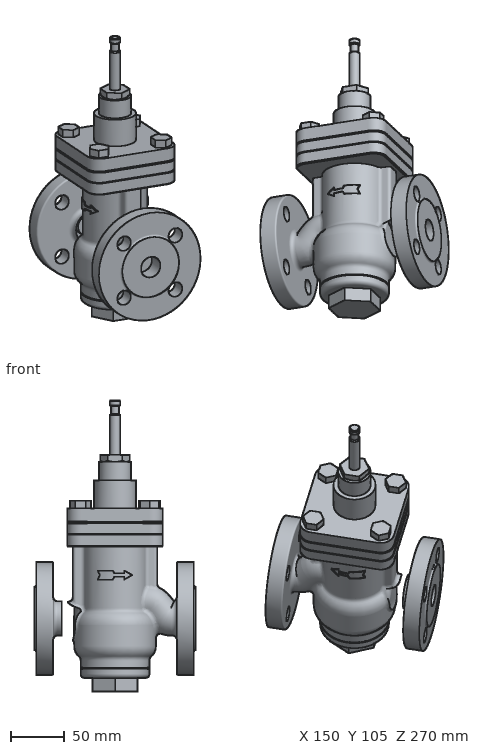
import cadquery as cq
import math


neck_radius = 60 / 2
belly_radius = 76 / 2
lower_neck_radius = 64 / 2
belly_top_z = -6.2
belly_bottom_z = -25.8
shoulder_radius = 14
shoulder_fillet = 5
underside_radius = 12
underside_fillet = 5

cap_radius = 64 / 2
cap_top_z = -46.6
cap_bottom_z = -55.2
cap_fillet = 3.8
cap_groove_width = 1.0
cap_groove_radius = 60 / 2
bottom_hex_flats = 42
bottom_z = -67.85

square_side = 88.6
square_corner = 12.3
square_bottom_z = 66.3
square_bottom_chamfer = 1.0
square_joint_z = 78.1
square_joint_gap = 0.8
square_joint_inset = 0.4
square_top_z = 88.1
gasket_radius = 52 / 2
cover_bottom_z = 89.6
cover_top_z = 101.9

bolt_offset = 32.0
bolt_head_flats = 17
bolt_head_height = 7.2

bonnet_radius = 39 / 2
bonnet_top_z = 127.9
gland_radius = 30 / 2
gland_top_z = 145.1
nut_flats = 24
nut_top_z = 151.6
nut_chamfer_slope = math.radians(30)
stem_radius = 9.95 / 2
stem_neck_radius = 7.5 / 2
stem_shoulder_z = 188.3
stem_head_bottom_z = 196.6
stem_chamfer = 1.2
stem_head_chamfer = 1.0
top_z = 202.15

rib_reach = 39.2
rib_width = 17
rib_fillet = 3

face_to_face = 150
raised_face_height = 2
raised_face_radius = 58.6 / 2
raised_face_fillet = 1.9
port_flange_radius = 105 / 2
port_flange_thickness = 15.8
port_flange_rounding = 1.6
port_bore_radius = 20 / 2
port_bolt_circle_radius = 75 / 2
port_bolt_hole_radius = 14 / 2
port_bolt_count = 4
port_bolt_start_angle = 45
pipe_radius = 32 / 2
pipe_fillet = 4

casting_fillet = 4
sharp_angle = 7

inlet_bend_start_x = -49.2
inlet_bend_radius = 30
inlet_bend_angle = 70
outlet_bend_start_x = 52.0
outlet_bend_radius = 10
outlet_entry_radius = 11
outlet_bend_angle = 50
outlet_straight = 10

arrow_height = 1.0
arrow_z = 40.2
arrow_tail_x = -16.0
arrow_notch_x = -14.0
arrow_shoulder_x = -2.1
arrow_shaft_x = -0.6
arrow_head_x = 8.5
arrow_tip_x = 16.0
arrow_half_width = 4.2
arrow_shaft_half_width = 1.6

port_face_x = face_to_face / 2
flange_outer_x = port_face_x - raised_face_height
flange_inner_x = flange_outer_x - port_flange_thickness

outlet_rise = (
    (outlet_bend_radius + outlet_entry_radius) * (1 - math.cos(math.radians(outlet_bend_angle)))
    + outlet_straight * math.sin(math.radians(outlet_bend_angle))
)

arc_sag = 1 - math.sqrt(0.5)


def disc(radius, z_from, z_to):
    """Round bar along Z."""
    return cq.Workplane("XY").workplane(offset=z_from).circle(radius).extrude(z_to - z_from)


def hexagon(flats, z_from, z_to, turn=0.0):
    """Hexagonal bar along Z; two corners lie on X, then it is turned about Z."""
    bar = cq.Workplane("XY").polygon(6, flats / math.cos(math.radians(30))).extrude(z_to - z_from)
    return bar.rotate((0, 0, 0), (0, 0, 1), turn).translate((0, 0, z_from))


def square_plate(side, z_from, z_to):
    corner = square_corner - (square_side - side) / 2
    plate = cq.Workplane("XY").workplane(offset=z_from).rect(side, side).extrude(z_to - z_from)
    return plate.edges("|Z").fillet(corner)


def reverse_curve(r_a, z_a, radius_a, r_b, radius_b, direction):
    """S-curve from a convex arc, vertical at (r_a, z_a), to a concave arc, vertical at r_b.

    Returns the middle of the convex arc, the inflection, the middle of the concave arc
    and the end point. `direction` is +1 for a curve going up and -1 for one going down.
    """
    sweep = math.acos(1 - (r_a - r_b) / (radius_a + radius_b))
    end_z = z_a + direction * (radius_a + radius_b) * math.sin(sweep)

    def convex(angle):
        return (r_a - radius_a * (1 - math.cos(angle)), z_a + direction * radius_a * math.sin(angle))

    def concave(angle):
        return (r_b + radius_b * (1 - math.cos(angle)), end_z - direction * radius_b * math.sin(angle))

    return convex(sweep / 2), convex(sweep), concave(sweep / 2), (r_b, end_z)


def turned_body():
    low = reverse_curve(belly_radius, belly_bottom_z, underside_radius,
                        lower_neck_radius, underside_fillet, -1)
    high = reverse_curve(belly_radius, belly_top_z, shoulder_radius,
                         neck_radius, shoulder_fillet, 1)
    profile = (
        cq.Workplane("XZ")
        .moveTo(0, cap_top_z + cap_groove_width)
        .lineTo(lower_neck_radius, cap_top_z + cap_groove_width)
        .lineTo(*low[3])
        .threePointArc(low[2], low[1])
        .threePointArc(low[0], (belly_radius, belly_bottom_z))
        .lineTo(belly_radius, belly_top_z)
        .threePointArc(high[0], high[1])
        .threePointArc(high[2], high[3])
        .lineTo(neck_radius, square_bottom_z)
        .lineTo(0, square_bottom_z)
        .close()
    )
    return profile.revolve(360, (0, 0, 0), (0, 1, 0))


def rib(side):
    """Vertical rib on the neck; it runs down into the pipe on that side."""
    start_z = 0 if side < 0 else outlet_rise
    length = square_bottom_z - start_z
    bar = (
        cq.Workplane("XY")
        .workplane(offset=start_z)
        .center(side * rib_reach / 2, 0)
        .rect(rib_reach, rib_width)
        .extrude(length)
    )
    outer_edges = "|Z and >X" if side > 0 else "|Z and <X"
    return bar.edges(outer_edges).fillet(rib_fillet)


def straight_pipe(start, angle, length):
    """Round pipe from `start` (x, z); `angle` is measured from +X towards +Z in degrees."""
    a = math.radians(angle)
    direction = cq.Vector(math.cos(a), 0, math.sin(a))
    base = cq.Vector(start[0], 0, start[1])
    return cq.Workplane(cq.Solid.makeCylinder(pipe_radius, length, base, direction))


def bend(start, angle, radius, turn):
    """Pipe bend from `start` heading at `angle`, turning by `turn` degrees; returns solid and end.

    The section is cut off at the bend axis, so that a bend tighter than the pipe stays sound.
    """
    a = math.radians(angle)
    hand = math.copysign(1, turn)
    outward = (hand * math.sin(a), -hand * math.cos(a))
    centre = (start[0] - radius * outward[0], start[1] - radius * outward[1])
    plane = cq.Plane(
        origin=(centre[0], 0, centre[1]),
        xDir=(outward[0], 0, outward[1]),
        normal=(math.cos(a), 0, math.sin(a)),
    )
    section = cq.Sketch().push([(radius, 0)]).circle(pipe_radius)
    reach = radius + pipe_radius
    section = section.reset().push([(-reach / 2, 0)]).rect(reach, 2 * reach, mode="s").reset()
    solid = cq.Workplane(plane).placeSketch(section).revolve(abs(turn), (0, 0, 0), (0, -1, 0))
    end_angle = math.radians(angle + turn)
    end = (
        centre[0] + radius * hand * math.sin(end_angle),
        centre[1] - radius * hand * math.cos(end_angle),
    )
    return solid, end


def inlet_pipe():
    stub_length = flange_inner_x + inlet_bend_start_x
    stub = straight_pipe((-flange_inner_x, 0), 0, stub_length)
    curve, _ = bend((inlet_bend_start_x, 0), 0, inlet_bend_radius, -inlet_bend_angle)
    return stub.union(curve)


def outlet_pipe():
    """Double bend that climbs from the flange axis and enters the neck horizontally."""
    toward_body = 180
    rising = toward_body - outlet_bend_angle
    start = (outlet_bend_start_x, 0)
    stub = straight_pipe((flange_inner_x, 0), toward_body, flange_inner_x - outlet_bend_start_x)
    lower, lower_end = bend(start, toward_body, outlet_bend_radius, -outlet_bend_angle)
    riser = straight_pipe(lower_end, rising, outlet_straight)
    angle = math.radians(rising)
    riser_end = (
        lower_end[0] + outlet_straight * math.cos(angle),
        lower_end[1] + outlet_straight * math.sin(angle),
    )
    upper, upper_end = bend(riser_end, rising, outlet_entry_radius, outlet_bend_angle)
    entry = straight_pipe(upper_end, toward_body, upper_end[0])
    return stub.union(lower).union(riser).union(upper).union(entry)


def port_flange():
    """Inlet flange on the -X side, with its raised face and the fillet onto the pipe."""
    back_x = -flange_inner_x
    front_x = -flange_outer_x
    rim_x = back_x - port_flange_rounding
    rim_radius = port_flange_radius - port_flange_rounding
    profile = (
        cq.Workplane("XZ")
        .moveTo(-port_face_x, 0)
        .lineTo(-port_face_x, raised_face_radius)
        .lineTo(front_x - raised_face_fillet, raised_face_radius)
        .threePointArc(
            (front_x - raised_face_fillet * arc_sag, raised_face_radius + raised_face_fillet * arc_sag),
            (front_x, raised_face_radius + raised_face_fillet),
        )
        .lineTo(front_x, port_flange_radius)
        .lineTo(rim_x, port_flange_radius)
        .threePointArc(
            (back_x - port_flange_rounding * arc_sag, port_flange_radius - port_flange_rounding * arc_sag),
            (back_x, rim_radius),
        )
        .lineTo(back_x, pipe_radius + pipe_fillet)
        .threePointArc(
            (back_x + pipe_fillet * arc_sag, pipe_radius + pipe_fillet * arc_sag),
            (back_x + pipe_fillet, pipe_radius),
        )
        .lineTo(back_x + pipe_fillet, 0)
        .close()
    )
    return profile.revolve(360, (0, 0, 0), (1, 0, 0))


def port_holes():
    """Bore and bolt holes of the inlet flange; the bore is blind, as deep as the flange."""
    depth = raised_face_height + port_flange_thickness
    face = cq.Workplane("YZ").workplane(offset=-port_face_x)
    bore = face.circle(port_bore_radius).extrude(depth)
    bolts = (
        face.polarArray(port_bolt_circle_radius, port_bolt_start_angle, 360, port_bolt_count)
        .circle(port_bolt_hole_radius)
        .extrude(depth)
    )
    return bore.union(bolts)


def square_flanges():
    lower = square_plate(square_side, square_bottom_z, square_joint_z - square_joint_gap / 2)
    lower = lower.faces("<Z").edges().chamfer(square_bottom_chamfer)
    joint_side = square_side - 2 * square_joint_inset
    joint = square_plate(joint_side, square_joint_z - square_joint_gap, square_joint_z + square_joint_gap)
    upper = square_plate(square_side, square_joint_z + square_joint_gap / 2, square_top_z)
    gasket = disc(gasket_radius, square_top_z, cover_bottom_z)
    cover = square_plate(square_side, cover_bottom_z, cover_top_z)
    return lower.union(joint).union(upper).union(gasket).union(cover)


def cover_bolts():
    """Four hexagon heads; heads on opposite corners of the cover are turned alike."""
    heads = cq.Workplane("XY")
    for side_x in (-1, 1):
        for side_y in (-1, 1):
            turn = 0 if side_x == side_y else 90
            head = hexagon(bolt_head_flats, cover_top_z, cover_top_z + bolt_head_height, turn)
            heads = heads.add(head.translate((side_x * bolt_offset, side_y * bolt_offset, 0)))
    return heads.combine()


def packing_nut():
    """Hexagon nut whose lower corners are chamfered by a cone."""
    height = nut_top_z - gland_top_z
    flat_radius = nut_flats / 2
    spread = height / math.tan(nut_chamfer_slope)
    base = cq.Vector(0, 0, gland_top_z)
    cone = cq.Workplane(cq.Solid.makeCone(flat_radius, flat_radius + spread, height, base))
    return hexagon(nut_flats, gland_top_z, nut_top_z).intersect(cone)


def stem():
    shaft = disc(stem_radius, nut_top_z, stem_shoulder_z + stem_chamfer).faces(">Z").chamfer(stem_chamfer)
    neck = disc(stem_neck_radius, stem_shoulder_z, top_z)
    head = disc(stem_radius, stem_head_bottom_z, top_z).faces("<Z or >Z").chamfer(stem_head_chamfer)
    return shaft.union(neck).union(head)


def bonnet():
    lower = disc(bonnet_radius, cover_top_z, bonnet_top_z)
    gland = disc(gland_radius, bonnet_top_z, gland_top_z)
    return lower.union(gland).union(packing_nut()).union(stem())


def bottom_cap():
    cap = disc(cap_radius, cap_bottom_z, cap_top_z).faces("<Z").edges().fillet(cap_fillet)
    joint = disc(cap_groove_radius, cap_top_z, cap_top_z + cap_groove_width)
    return cap.union(joint).union(hexagon(bottom_hex_flats, bottom_z, cap_bottom_z, 90))


def flow_arrow():
    upper = [
        (arrow_tail_x, arrow_half_width),
        (arrow_shoulder_x, arrow_half_width),
        (arrow_shaft_x, arrow_shaft_half_width),
        (arrow_head_x, arrow_shaft_half_width),
        (arrow_head_x, arrow_half_width),
    ]
    lower = [(x, -z) for x, z in reversed(upper)]
    outline = upper + [(arrow_tip_x, 0)] + lower + [(arrow_notch_x, 0)]
    reach = neck_radius + arrow_height
    bar = cq.Workplane("XZ").polyline(outline).close().extrude(reach, both=True).translate((0, 0, arrow_z))
    return bar.intersect(disc(reach, 0, square_bottom_z))


def seams(solid):
    """Sharp edges where the ribs and pipes meet the body, between the port flanges."""
    faces_at = {}
    for face in solid.Faces():
        for edge in face.Edges():
            faces_at.setdefault(edge, []).append(face)
    found = []
    for edge, faces in faces_at.items():
        middle = edge.positionAt(0.5)
        beside_body = neck_radius / 2 < abs(middle.x) < -inlet_bend_start_x
        between_ends = belly_bottom_z < middle.z < square_bottom_z - casting_fillet
        if len(faces) == 2 and beside_body and between_ends:
            angle = faces[0].normalAt(middle).getAngle(faces[1].normalAt(middle))
            if angle > math.radians(sharp_angle):
                found.append(edge)
    return found


def casting():
    body = turned_body().union(inlet_pipe()).union(outlet_pipe()).union(rib(-1)).union(rib(1))
    solid = body.solids().val()
    return cq.Workplane(solid.fillet(casting_fillet, seams(solid)))


result = casting()
for piece in (flow_arrow(), square_flanges(), cover_bolts(), bonnet(), bottom_cap()):
    result = result.union(piece)
for flange, holes in (
    (port_flange(), port_holes()),
    (port_flange().mirror("YZ"), port_holes().mirror("YZ")),
):
    result = result.union(flange).cut(holes)